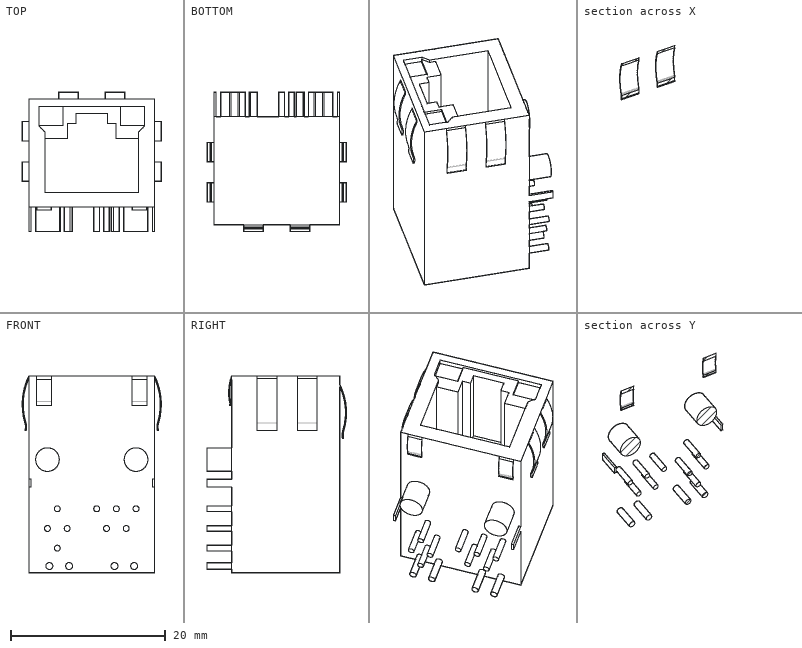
import cadquery as cq
import math

GRID = 1.27
OVERLAP = 0.5

WIDTH = 16.256
DEPTH = 13.97
HEIGHT = 25.4

PORT_HALF_WIDTH = 6.03
PORT_FRONT = 1.89
POCKET_HALF_WIDTH = 6.84
POCKET_BACK = 12.96
FLARE_START = 9.68
POCKET_RECESS = 0.38
SHOULDER_HALF_WIDTH = 3.14
SHOULDER_FRONT = 8.87
LATCH_HALF_WIDTH = 2.05
LATCH_FRONT = 10.76
LATCH_BACK = 12.06
PORT_DEPTH = HEIGHT / 2

WINDOW_INNER = 3.74
WINDOW_FRONT = 10.56
WINDOW_RECESS = 0.70

LEAD_LENGTH = 2.5 * GRID
PIN_DIAMETER = 0.76
LED_PIN_DIAMETER = 0.89
PEG_DIAMETER = 3.05
FIRST_ROW_Z = 2.5 * GRID
ROW_PITCH = 2 * GRID
SIGNAL_ROWS = [[-7], [-9, -5, 3, 7], [-7, 1, 5, 9]]
LED_PIN_Z = 0.87
LED_PAIR_X = 4.2
PEG_X = 4.5 * GRID
PEG_Z = FIRST_ROW_Z + 9 * GRID
TAB_THICKNESS = 0.3
TAB_BOTTOM = 11.05
TAB_HEIGHT = 1.02

SPRING_THICKNESS = 0.15
TAIL_SAG = 0.06
WIDE_SPRING = 2 * GRID
WIDE_RISE = 0.862
WIDE_PEAK_DROP = 3.67
WIDE_BEND_DROP = 6.1
WIDE_LENGTH = 7.05
SIDE_SPRING_Y = [4.58, 9.78]
BACK_SPRING_X = 3.0
BACK_SPRING_TOP = HEIGHT - 1.05
BACK_SPRING_RISE = 0.885
NARROW_SPRING = 1.91
NARROW_RISE = 0.38
NARROW_PEAK_DROP = 2.15
NARROW_BEND_DROP = 3.3
NARROW_LENGTH = 3.8
NARROW_SPRING_X = 6.17


def block(x_range, y_range, z_range):
    """Box between two limits on each axis."""
    size = [limits[1] - limits[0] for limits in (x_range, y_range, z_range)]
    corner = (x_range[0], y_range[0], z_range[0])
    return cq.Workplane("XY").box(*size, centered=False).translate(corner)


def cut_from_top(outline, depth):
    """Prism below the top face, used to cut a pocket of that depth."""
    return cq.Workplane("XY").workplane(offset=HEIGHT).polyline(outline).close().extrude(-depth)


def mirrored(right_half):
    """Closed outline from its +X half, listed from front to back."""
    return right_half + [(-x, y) for x, y in reversed(right_half)]


def make_housing():
    housing = block((-WIDTH / 2, WIDTH / 2), (0, DEPTH), (0, HEIGHT))
    flare_end = FLARE_START + POCKET_HALF_WIDTH - PORT_HALF_WIDTH
    pocket = mirrored([
        (PORT_HALF_WIDTH, PORT_FRONT),
        (PORT_HALF_WIDTH, FLARE_START),
        (POCKET_HALF_WIDTH, flare_end),
        (POCKET_HALF_WIDTH, POCKET_BACK),
    ])
    port = mirrored([
        (PORT_HALF_WIDTH, PORT_FRONT),
        (PORT_HALF_WIDTH, SHOULDER_FRONT),
        (SHOULDER_HALF_WIDTH, SHOULDER_FRONT),
        (SHOULDER_HALF_WIDTH, LATCH_FRONT),
        (LATCH_HALF_WIDTH, LATCH_FRONT),
        (LATCH_HALF_WIDTH, LATCH_BACK),
    ])
    housing = housing.cut(cut_from_top(pocket, POCKET_RECESS))
    housing = housing.cut(cut_from_top(port, PORT_DEPTH))
    window = block(
        (WINDOW_INNER, POCKET_HALF_WIDTH),
        (WINDOW_FRONT, POCKET_BACK),
        (HEIGHT - WINDOW_RECESS, HEIGHT),
    )
    return housing.cut(window).cut(window.mirror("YZ"))


def round_lead(x, z, diameter):
    """Round pin or peg standing out of the board face."""
    start = cq.Workplane("XZ", origin=(0, OVERLAP, 0)).center(x, z)
    return start.circle(diameter / 2).extrude(OVERLAP + LEAD_LENGTH)


def make_leads():
    leads = []
    for row, steps in enumerate(SIGNAL_ROWS):
        for step in steps:
            leads.append(round_lead(step * GRID / 2, FIRST_ROW_Z + row * ROW_PITCH, PIN_DIAMETER))
    for side in (-1, 1):
        for shift in (-GRID, GRID):
            leads.append(round_lead(side * LED_PAIR_X + shift, LED_PIN_Z, LED_PIN_DIAMETER))
        leads.append(round_lead(side * PEG_X, PEG_Z, PEG_DIAMETER))
    tab = block(
        (WIDTH / 2 - TAB_THICKNESS, WIDTH / 2),
        (-LEAD_LENGTH, OVERLAP),
        (TAB_BOTTOM, TAB_BOTTOM + TAB_HEIGHT),
    )
    return leads + [tab, tab.mirror("YZ")]


def make_spring(width, rise, peak_drop, bend_drop, length):
    """Leaf bowing toward +X from the plane X = 0, centred on Y = 0, with its top on Z = 0."""
    radius = (peak_drop ** 2 + rise ** 2) / (2 * rise)
    centre_x = rise - radius

    def leaf_x(drop, arc_radius):
        return centre_x + math.sqrt(arc_radius ** 2 - (drop - peak_drop) ** 2)

    inner_radius = radius - SPRING_THICKNESS
    outer_bend = leaf_x(bend_drop, radius)
    inner_bend = leaf_x(bend_drop, inner_radius)
    tail_middle = -(bend_drop + length) / 2
    profile = (
        cq.Workplane("XZ", origin=(0, width / 2, 0))
        .moveTo(0, 0)
        .threePointArc((rise, -peak_drop), (outer_bend, -bend_drop))
        .threePointArc((outer_bend - TAIL_SAG, tail_middle), (outer_bend, -length))
        .lineTo(inner_bend, -length)
        .threePointArc((inner_bend - TAIL_SAG, tail_middle), (inner_bend, -bend_drop))
        .threePointArc((rise - SPRING_THICKNESS, -peak_drop), (leaf_x(0, inner_radius), 0))
        .close()
    )
    return profile.extrude(width)


def turned(spring, angle):
    """Spring rotated about the vertical axis."""
    return spring.rotate((0, 0, 0), (0, 0, 1), angle)


def make_springs():
    side = make_spring(WIDE_SPRING, WIDE_RISE, WIDE_PEAK_DROP, WIDE_BEND_DROP, WIDE_LENGTH)
    back = make_spring(WIDE_SPRING, BACK_SPRING_RISE, WIDE_PEAK_DROP, WIDE_BEND_DROP, WIDE_LENGTH)
    front = make_spring(NARROW_SPRING, NARROW_RISE, NARROW_PEAK_DROP, NARROW_BEND_DROP, NARROW_LENGTH)
    springs = []
    for y in SIDE_SPRING_Y:
        right = side.translate((WIDTH / 2, y, HEIGHT))
        springs += [right, right.mirror("YZ")]
    for sign in (-1, 1):
        springs.append(turned(back, 90).translate((sign * BACK_SPRING_X, DEPTH, BACK_SPRING_TOP)))
        springs.append(turned(front, -90).translate((sign * NARROW_SPRING_X, 0, HEIGHT)))
    return springs


result = make_housing()
for feature in make_leads() + make_springs():
    result = result.union(feature)